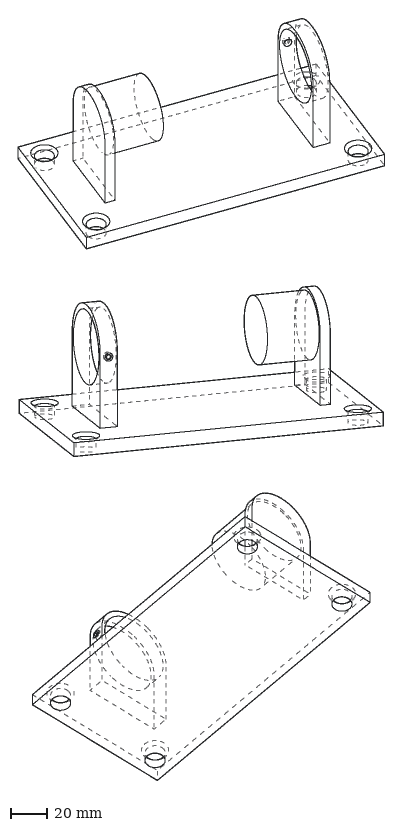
import cadquery as cq

BASE_WIDTH = 90.0
BASE_LENGTH = 180.0
BASE_THICKNESS = 8.0

AXIS_HEIGHT = 40.1

HOLE_DIAMETER = 11.0
COUNTERSINK_DIAMETER = 15.0
COUNTERSINK_ANGLE = 90.0
HOLE_INSET = 11.0

RING_WIDTH = 46.0
RING_HEIGHT = 64.3
RING_CORNER_RADIUS = 22.0
RING_THICKNESS = 10.0
RING_FRONT_Y = 56.9
BORE_DIAMETER = 42.0

SCREW_DIAMETER = 4.7
SCREW_LENGTH = (RING_WIDTH - BORE_DIAMETER) / 2
SOCKET_ACROSS_FLATS = 2.5
SOCKET_DEPTH = 1.0
SOCKET_SIDES = 6

SUPPORT_WIDTH = 42.0
SUPPORT_THICKNESS = 6.0
SUPPORT_FRONT_Y = -67.7

CYLINDER_DIAMETER = 38.5
CYLINDER_LENGTH = 30.0


def upright_plane(front_y):
    """Plane on the base top facing -Y: local x is X, local y is Z above the base."""
    return cq.Workplane("XZ", origin=(0, front_y, BASE_THICKNESS))


def screw_plane():
    """Plane on the -X wall of the ring, centred on the set screw and facing into the wall (+X)."""
    origin = (-RING_WIDTH / 2, RING_FRONT_Y + RING_THICKNESS / 2, BASE_THICKNESS + AXIS_HEIGHT)
    return cq.Workplane("YZ", origin=origin)


def make_base():
    plate = cq.Workplane("XY").box(BASE_WIDTH, BASE_LENGTH, BASE_THICKNESS, centered=(True, True, False))
    return (
        plate.faces(">Z")
        .workplane()
        .rect(BASE_WIDTH - 2 * HOLE_INSET, BASE_LENGTH - 2 * HOLE_INSET, forConstruction=True)
        .vertices()
        .cskHole(HOLE_DIAMETER, COUNTERSINK_DIAMETER, COUNTERSINK_ANGLE)
    )


def make_ring_bracket():
    blank = (
        upright_plane(RING_FRONT_Y)
        .center(0, RING_HEIGHT / 2)
        .rect(RING_WIDTH, RING_HEIGHT)
        .extrude(-RING_THICKNESS)
        .edges("|Y and >Z")
        .fillet(RING_CORNER_RADIUS)
    )
    bore = (
        upright_plane(RING_FRONT_Y)
        .center(0, AXIS_HEIGHT)
        .circle(BORE_DIAMETER / 2)
        .extrude(-RING_THICKNESS)
    )
    screw_hole = screw_plane().circle(SCREW_DIAMETER / 2).extrude(RING_WIDTH / 2)
    return blank.cut(bore).cut(screw_hole)


def make_support_plate():
    half_width = SUPPORT_WIDTH / 2
    return (
        upright_plane(SUPPORT_FRONT_Y)
        .moveTo(-half_width, 0)
        .lineTo(half_width, 0)
        .lineTo(half_width, AXIS_HEIGHT)
        .threePointArc((0, AXIS_HEIGHT + half_width), (-half_width, AXIS_HEIGHT))
        .close()
        .extrude(-SUPPORT_THICKNESS)
    )


def make_cylinder():
    return (
        upright_plane(SUPPORT_FRONT_Y + SUPPORT_THICKNESS)
        .center(0, AXIS_HEIGHT)
        .circle(CYLINDER_DIAMETER / 2)
        .extrude(-CYLINDER_LENGTH)
    )


def make_frame():
    """Base plate, both uprights and the cylinder, as one solid."""
    return make_base().union(make_ring_bracket()).union(make_support_plate()).union(make_cylinder())


def make_set_screw():
    """Headless screw with a hexagon socket, two socket flats facing along Y."""
    shank = screw_plane().circle(SCREW_DIAMETER / 2).extrude(SCREW_LENGTH)
    socket = (
        screw_plane()
        .transformed(rotate=(0, 0, 180 / SOCKET_SIDES))
        .polygon(SOCKET_SIDES, SOCKET_ACROSS_FLATS, circumscribed=True)
        .extrude(SOCKET_DEPTH)
    )
    return shank.cut(socket)


frame = make_frame()
set_screw = make_set_screw()
result = cq.Compound.makeCompound([frame.val(), set_screw.val()])